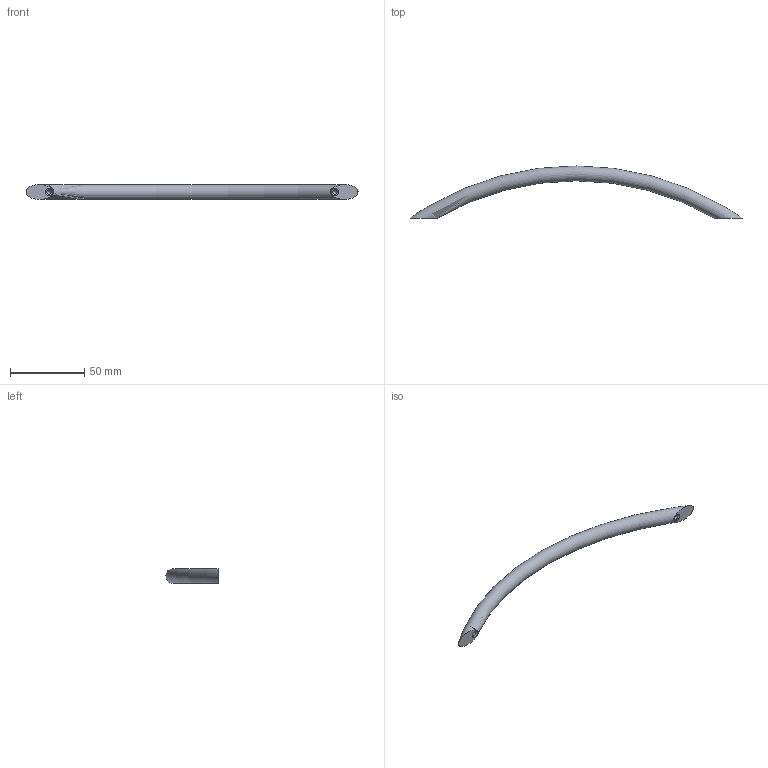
import cadquery as cq
import math

span = 223.0
rise = 35.0
bar_diameter = 10.0
hole_spacing = 192.0
bore_diameter = 3.3
bore_depth = 5.0
countersink_diameter = 5.0
countersink_angle = 90.0
drill_point_angle = 60.0

half_span = span / 2
outer_radius = (half_span**2 + rise**2) / (2 * rise)
centerline_radius = outer_radius - bar_diameter / 2
arc_center_y = rise - outer_radius

overshoot = math.radians(5)
half_sweep = math.asin(half_span / outer_radius) + overshoot


def centerline_point(angle):
    """Point on the bar's centreline; the angle is measured from the crown."""
    return (
        centerline_radius * math.sin(angle),
        arc_center_y + centerline_radius * math.cos(angle),
    )


def make_bow():
    """Round bar bent along an arc in the XY plane, untrimmed."""
    start = centerline_point(-half_sweep)
    crown = centerline_point(0)
    end = centerline_point(half_sweep)
    path = cq.Workplane("XY").moveTo(*start).threePointArc(crown, end)
    section_plane = cq.Plane(
        origin=(start[0], start[1], 0),
        xDir=(math.sin(half_sweep), -math.cos(half_sweep), 0),
        normal=(math.cos(half_sweep), math.sin(half_sweep), 0),
    )
    return cq.Workplane(section_plane).circle(bar_diameter / 2).sweep(path)


def trim_feet(bow):
    """Keep the part of the bow above the mounting plane at Y = 0."""
    keep = cq.Workplane("XY").box(
        2 * span, 2 * rise, 2 * bar_diameter, centered=(True, False, True)
    )
    return bow.intersect(keep)


def mounting_hole(x):
    """Cutter for one countersunk blind hole with a drill point, along +Y from Y = 0."""
    bore_radius = bore_diameter / 2
    countersink_radius = countersink_diameter / 2
    countersink_depth = (countersink_radius - bore_radius) / math.tan(math.radians(countersink_angle / 2))
    point_length = bore_radius / math.tan(math.radians(drill_point_angle / 2))
    return (
        cq.Workplane("XY")
        .lineTo(countersink_radius, 0)
        .lineTo(bore_radius, countersink_depth)
        .lineTo(bore_radius, bore_depth)
        .lineTo(0, bore_depth + point_length)
        .close()
        .revolve(360, (0, 0), (0, 1))
        .translate((x, 0, 0))
    )


def drill_mounting_holes(handle):
    """One hole in each foot, square to the mounting plane."""
    for side in (-1, 1):
        handle = handle.cut(mounting_hole(side * hole_spacing / 2))
    return handle


result = drill_mounting_holes(trim_feet(make_bow()))